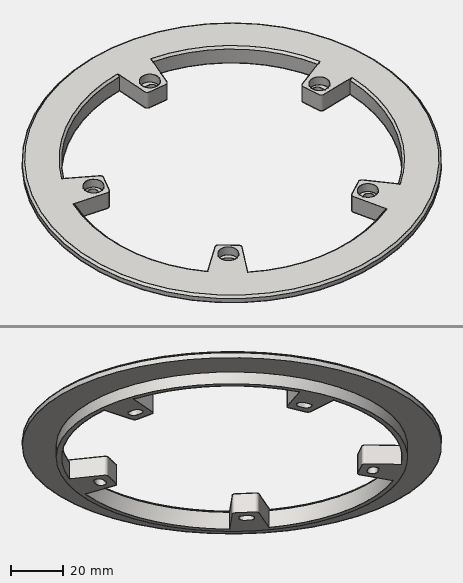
import cadquery as cq
import math

flange_diameter = 160.0
hub_diameter = 134.0
bore_diameter = 130.0
total_height = 8.0
flange_thickness = 3.0
edge_chamfer = 1.0

tab_count = 5
tab_tip_radius = 50.0
tab_tip_width = 10.0
tab_side_angle = 10.0
tab_corner_radius = 1.5

slot_radius = 55.0
slot_length = 6.0
slot_width = 4.2
counterbore_diameter = 8.0
counterbore_depth = 4.0


def make_ring():
    hub_height = total_height - flange_thickness
    hub = cq.Workplane("XY").circle(hub_diameter / 2).extrude(hub_height)
    flange = (
        cq.Workplane("XY")
        .workplane(offset=hub_height)
        .circle(flange_diameter / 2)
        .extrude(flange_thickness)
    )
    bore = cq.Workplane("XY").circle(bore_diameter / 2).extrude(total_height)
    return hub.union(flange).cut(bore).faces(">Z").edges().chamfer(edge_chamfer)


def make_tab():
    """Tapered tab on the +Y side, its root buried in the hub wall."""
    root_radius = (bore_diameter + hub_diameter) / 4
    tip_half = tab_tip_width / 2
    root_half = tip_half + (root_radius - tab_tip_radius) * math.tan(math.radians(tab_side_angle))
    return (
        cq.Workplane("XY")
        .polyline([
            (-tip_half, tab_tip_radius),
            (tip_half, tab_tip_radius),
            (root_half, root_radius),
            (-root_half, root_radius),
        ])
        .close()
        .extrude(total_height)
        .edges("|Z and <Y")
        .fillet(tab_corner_radius)
    )


def make_slot():
    """Through slot along the tangent, with a round counterbore from the top."""
    slot = (
        cq.Workplane("XY")
        .center(0, slot_radius)
        .slot2D(slot_length, slot_width)
        .extrude(total_height)
    )
    counterbore = (
        cq.Workplane("XY")
        .workplane(offset=total_height - counterbore_depth)
        .center(0, slot_radius)
        .circle(counterbore_diameter / 2)
        .extrude(counterbore_depth)
    )
    return slot.union(counterbore)


tab = make_tab().cut(make_slot())
result = make_ring()
for index in range(tab_count):
    angle = index * 360 / tab_count
    result = result.union(tab.rotate((0, 0, 0), (0, 0, 1), angle))